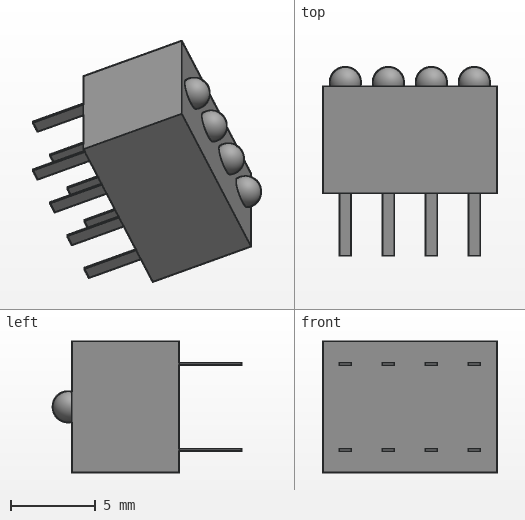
import cadquery as cq

BODY_WIDTH = 10.29
BODY_DEPTH = 6.335
BODY_HEIGHT = 7.77

COLUMN_COUNT = 4
PITCH = 2.54
COLUMN_SHIFT = -0.01
DOME_RADIUS = 0.935
DOME_PROTRUSION = 1.145

PIN_WIDTH = 0.7
PIN_THICKNESS = 0.14
PIN_LENGTH = 3.69
ROW_SPACING = 2 * PITCH

column_positions = [COLUMN_SHIFT + (i - (COLUMN_COUNT - 1) / 2) * PITCH for i in range(COLUMN_COUNT)]
row_positions = [-ROW_SPACING / 2, ROW_SPACING / 2]


def make_body():
    """Housing with its pin face on the plane Y = 0."""
    return cq.Workplane("XY").box(BODY_WIDTH, BODY_DEPTH, BODY_HEIGHT, centered=(True, False, True))


def make_dome(x):
    """Sphere sunk into the +Y face so that only its cap stands proud."""
    center_y = BODY_DEPTH + DOME_PROTRUSION - DOME_RADIUS
    return cq.Workplane("XZ").sphere(DOME_RADIUS).translate((x, center_y, 0))


def make_pin(x, z):
    """Flat pin running from the pin face toward -Y."""
    pin = cq.Workplane("XY").box(PIN_WIDTH, PIN_LENGTH, PIN_THICKNESS)
    return pin.translate((x, -PIN_LENGTH / 2, z))


result = make_body()
for column_x in column_positions:
    result = result.union(make_dome(column_x))
    for row_z in row_positions:
        result = result.union(make_pin(column_x, row_z))